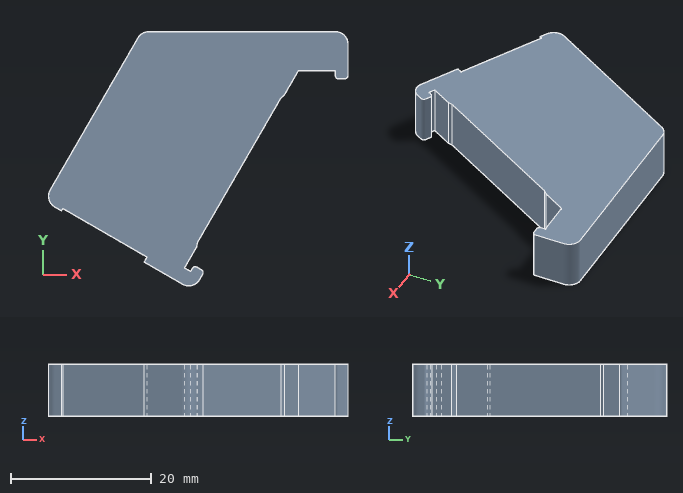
import cadquery as cq
import math

length = 42.6
width = 36.15
thickness = 7.4

foot_angle = math.radians(-30)
corner_radius = 1.8
tip_radius = 0.45

heel_length = 2.9
foot_recess_end = 16.7
foot_recess_depth = 0.4
toe_drop = 0.43
foot_length = 24.8
toe_hook_width = 1.7
toe_hook_height = 2.73
toe_shelf_height = 1.75

arm_width = 22.1
relief_depth = 0.2
relief_start = 5.2
relief_end = 30.1
relief_ramp = 0.65

lip_thickness = 5.6
lip_hook_width = 1.85
lip_hook_depth = 6.75

cos_foot = math.cos(foot_angle)
sin_foot = math.sin(foot_angle)
heel_x = corner_radius * (1 - cos_foot + sin_foot)
toe_center_along = foot_length - corner_radius
toe_center_up = corner_radius - toe_drop
heel_y = corner_radius - toe_center_along * sin_foot - toe_center_up * cos_foot


def arm_point(along, up):
    """Convert a position in the slanted arm frame to X and Y."""
    x = heel_x + along * cos_foot - up * sin_foot
    y = heel_y + along * sin_foot + up * cos_foot
    return (x, y)


def flank_point(along, y):
    """Point at height y on the flank line that lies the given distance along the foot."""
    up = (y - heel_y - along * sin_foot) / cos_foot
    return arm_point(along, up)


def round_corners(body, corners, radius):
    """Round the upright edges that stand at the given corners."""
    for x, y in corners:
        nearest = cq.selectors.NearestToPointSelector((x, y, thickness / 2))
        body = body.edges("|Z").edges(nearest).fillet(radius)
    return body


heel = arm_point(0, 0)
toe = arm_point(foot_length, -toe_drop)
toe_hook_start = foot_length - toe_hook_width
toe_tip_outer = arm_point(foot_length, toe_hook_height)
toe_tip_inner = arm_point(toe_hook_start, toe_hook_height)
lip_hook_x = length - lip_hook_width
lip_hook_y = width - lip_hook_depth
lip_tip_inner = (lip_hook_x, lip_hook_y)
lip_tip_outer = (length, lip_hook_y)
top_right = (length, width)
top_left = flank_point(0, width)

lip_y = width - lip_thickness
relief_along = arm_width - relief_depth

outline = [
    heel,
    arm_point(heel_length, 0),
    arm_point(heel_length, foot_recess_depth),
    arm_point(foot_recess_end, foot_recess_depth),
    arm_point(foot_recess_end, -toe_drop),
    toe,
    toe_tip_outer,
    toe_tip_inner,
    arm_point(toe_hook_start, toe_shelf_height),
    arm_point(arm_width, toe_shelf_height),
    arm_point(arm_width, relief_start),
    arm_point(relief_along, relief_start + relief_ramp),
    arm_point(relief_along, relief_end - relief_ramp),
    arm_point(arm_width, relief_end),
    flank_point(arm_width, lip_y),
    (lip_hook_x, lip_y),
    lip_tip_inner,
    lip_tip_outer,
    top_right,
    top_left,
]

body = cq.Workplane("XY").polyline(outline).close().extrude(thickness)
body = round_corners(body, [heel, toe, top_right, top_left], corner_radius)
hook_tips = [toe_tip_outer, toe_tip_inner, lip_tip_inner, lip_tip_outer]
result = round_corners(body, hook_tips, tip_radius)